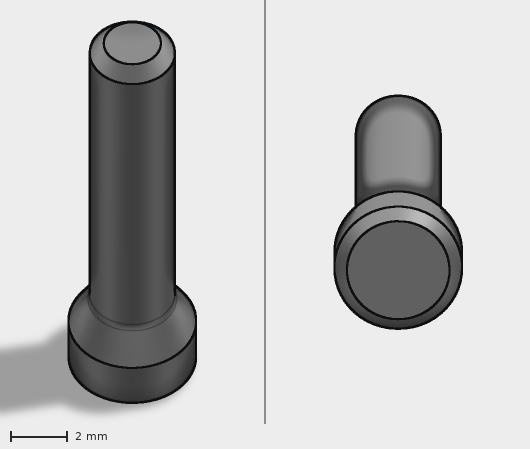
import cadquery as cq
import math

total_length = 16.5
head_diameter = 4.5
shank_diameter = 3.0
tip_chamfer = 0.5
base_chamfer_height = 0.3
base_chamfer_width = 0.45
head_top = 2.11
cone_half_angle = 30.0
neck_radius = 0.5

head_radius = head_diameter / 2
shank_radius = shank_diameter / 2
slope = math.radians(cone_half_angle)

cone_top = head_top + (head_radius - shank_radius) / math.tan(slope)
tangent_length = neck_radius * math.tan(slope / 2)
cone_end = (
    shank_radius + tangent_length * math.sin(slope),
    cone_top - tangent_length * math.cos(slope),
)
neck_end = (shank_radius, cone_top + tangent_length)
neck_middle = (
    shank_radius + neck_radius * (1 - math.cos(slope / 2)),
    neck_end[1] - neck_radius * math.sin(slope / 2),
)

profile = (
    cq.Workplane("XZ")
    .moveTo(0, 0)
    .lineTo(head_radius - base_chamfer_width, 0)
    .lineTo(head_radius, base_chamfer_height)
    .lineTo(head_radius, head_top)
    .lineTo(*cone_end)
    .threePointArc(neck_middle, neck_end)
    .lineTo(shank_radius, total_length - tip_chamfer)
    .lineTo(shank_radius - tip_chamfer, total_length)
    .lineTo(0, total_length)
    .close()
)
result = profile.revolve(360, (0, 0, 0), (0, 1, 0))